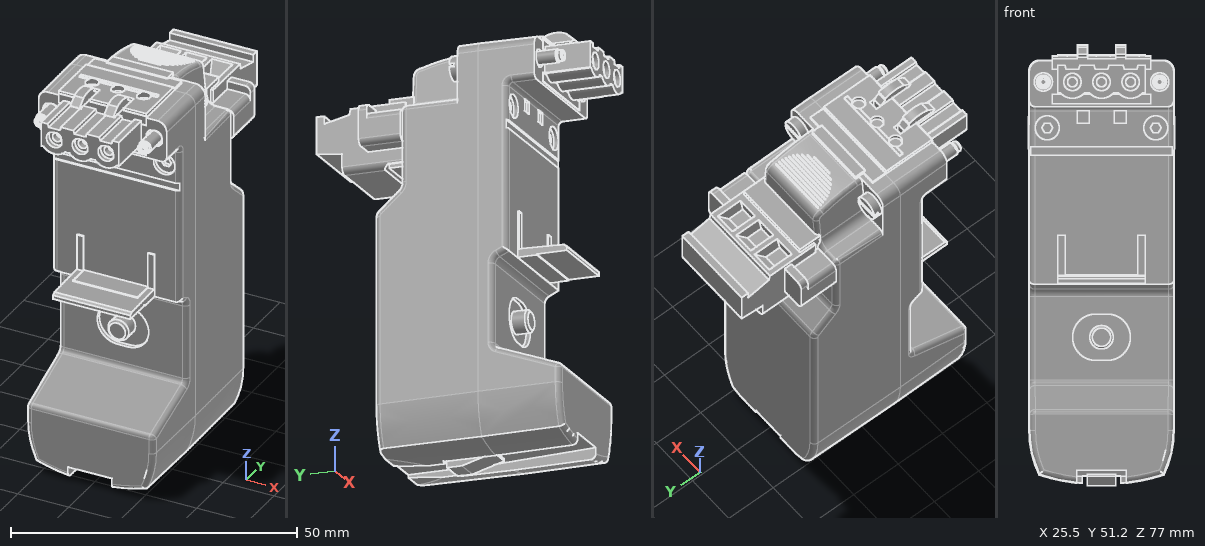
import cadquery as cq
import math


HALF_WIDTH = 12.68
DRAFT = 0.5
SHELL_DEPTH = 25.0
BODY_TOP = 74.3
BODY_BACK = 19.43
NECK_BACK = 14.5
BLOCK_FRONT = -10.6
BLOCK_BOTTOM = 66.2
PANEL_FRONT = -5.5
WAIST_FRONT = -2.88
FOOT_FRONT = -15.45
TOP_CORNER_RADIUS = 1.9
EDGE_RADIUS = 1.0
CURVE_START = 9.7
FOOT_CORNER = (10.9, 1.9)
FOOT_BOTTOM = 0.2
HOOD_START = 5.0
HOOD_START_Z = 74.2
HOOD_MID = (9.0, 73.75)
HOOD_END = (12.9, 72.8)
OVERSIZE = 20.0

HOOD_HALF_WIDTH = 6.85
HOOD_FOOT_HALF_WIDTH = 7.6
HOOD_EDGE_RADIUS = 0.8
SHELF_Z = 64.2
SHELF_INNER_RADIUS = 1.8
SHELF_OUTER_RADIUS = 1.0
SHELF_FRONT = 3.83
SCREW_X = 10.08
SCREW_Z = 70.5

PITCH = 5.08
PIN_X = (-PITCH, 0.0, PITCH)
PLUG_FRONT = -19.15
PLUG_HALF_WIDTH = 7.65
PLUG_TOP = 73.4
PLUG_FLOOR = 68.6
PLUG_SCALLOP = 2.85

TERMINAL_HALF_WIDTH = 8.22
TERMINAL_BACK = 32.05
TERMINAL_TOP = 66.25
TERMINAL_BOTTOM = 54.6
WING_HALF_WIDTH = 12.77
WING_BACK = 22.35


def box(x, y, z):
    """Box between the given (low, high) limits."""
    size = (x[1] - x[0], y[1] - y[0], z[1] - z[0])
    return cq.Workplane("XY").box(*size, centered=False).translate((x[0], y[0], z[0]))


def rod(x, z, radius, y_start, y_end):
    """Cylinder along Y."""
    plane = cq.Workplane("XZ", origin=(0, y_start, 0))
    return plane.center(x, z).circle(radius).extrude(y_start - y_end)


def slab(profile, half_width):
    """Closed YZ outline spread evenly to both sides of X = 0."""
    return profile.extrude(half_width, both=True)


def shell(length, toward):
    """Drafted half of the housing; toward is -1 for the front, 1 for the back."""
    corner_x, corner_z = FOOT_CORNER
    rise = CURVE_START - corner_z
    inset = HALF_WIDTH - corner_x
    radius = (rise ** 2 + inset ** 2) / (2 * inset)
    half_angle = math.asin(rise / radius) / 2
    bow_x = HALF_WIDTH - radius * (1 - math.cos(half_angle))
    bow_z = CURVE_START - radius * math.sin(half_angle)
    plane = cq.Workplane(cq.Plane((0, 0, 0), (-toward, 0, 0), (0, toward, 0)))
    top_side = BODY_TOP - TOP_CORNER_RADIUS
    top_x = HALF_WIDTH - TOP_CORNER_RADIUS
    diagonal = TOP_CORNER_RADIUS * (1 - math.sqrt(0.5))
    outline = (
        plane.moveTo(-corner_x, corner_z)
        .threePointArc((0, FOOT_BOTTOM), (corner_x, corner_z))
        .threePointArc((bow_x, bow_z), (HALF_WIDTH, CURVE_START))
        .lineTo(HALF_WIDTH, top_side)
        .threePointArc((HALF_WIDTH - diagonal, BODY_TOP - diagonal), (top_x, BODY_TOP))
        .lineTo(-top_x, BODY_TOP)
        .threePointArc((diagonal - HALF_WIDTH, BODY_TOP - diagonal), (-HALF_WIDTH, top_side))
        .lineTo(-HALF_WIDTH, CURVE_START)
        .threePointArc((-bow_x, bow_z), (-corner_x, corner_z))
        .close()
    )
    return outline.extrude(length, taper=DRAFT)


def side_profile():
    """Outline of the housing in the YZ plane."""
    top = BODY_TOP + 1
    return (
        cq.Workplane("YZ")
        .moveTo(FOOT_FRONT, -1)
        .lineTo(FOOT_FRONT, 13.2)
        .lineTo(WAIST_FRONT, 17.8)
        .lineTo(WAIST_FRONT, 34.0)
        .lineTo(PANEL_FRONT, 35.2)
        .lineTo(PANEL_FRONT, BLOCK_BOTTOM)
        .lineTo(BLOCK_FRONT, BLOCK_BOTTOM)
        .lineTo(BLOCK_FRONT, top)
        .lineTo(SHELF_FRONT, top)
        .lineTo(SHELF_FRONT, HOOD_START_Z)
        .lineTo(HOOD_START, HOOD_START_Z)
        .threePointArc(HOOD_MID, HOOD_END)
        .threePointArc((14.05, 72.3), (NECK_BACK, 71.2))
        .lineTo(NECK_BACK, 49.3)
        .lineTo(BODY_BACK, 45.0)
        .lineTo(BODY_BACK, 1.2)
        .lineTo(9.8, 0.1)
        .lineTo(9.8, -1)
        .close()
    )


def crease(y, z):
    """Selector of the straight edges along X that pass through (y, z)."""
    reach = 0.2
    low = (-OVERSIZE, y - reach, z - reach)
    return cq.selectors.BoxSelector(low, (OVERSIZE, y + reach, z + reach))


def rim(y, z, x):
    """Selector of the edges in the given ranges, on both sides of X = 0."""
    right = cq.selectors.BoxSelector((x[0], y[0], z[0]), (x[1], y[1], z[1]))
    left = cq.selectors.BoxSelector((-x[1], y[0], z[0]), (-x[0], y[1], z[1]))
    return right + left


def shelf_cut(side):
    """Room beside the hood, above a shelf that blends up into it."""
    shelf_end = HALF_WIDTH - SHELF_OUTER_RADIUS
    blend_start = HOOD_FOOT_HALF_WIDTH + SHELF_INNER_RADIUS
    cut_top = BODY_TOP + 5
    turn = math.sqrt(0.5)
    outer_mid = (
        side * (shelf_end + SHELF_OUTER_RADIUS * turn),
        SHELF_Z - SHELF_OUTER_RADIUS * (1 - turn),
    )
    inner_mid = (
        side * (blend_start - SHELF_INNER_RADIUS * turn),
        SHELF_Z + SHELF_INNER_RADIUS * (1 - turn),
    )
    outline = (
        cq.Workplane("XZ", origin=(0, SHELF_FRONT, 0))
        .moveTo(side * OVERSIZE, SHELF_Z - SHELF_OUTER_RADIUS)
        .lineTo(side * HALF_WIDTH, SHELF_Z - SHELF_OUTER_RADIUS)
        .threePointArc(outer_mid, (side * shelf_end, SHELF_Z))
        .lineTo(side * blend_start, SHELF_Z)
        .threePointArc(inner_mid, (side * HOOD_FOOT_HALF_WIDTH, SHELF_Z + SHELF_INNER_RADIUS))
        .lineTo(side * HOOD_HALF_WIDTH, BODY_TOP)
        .lineTo(side * HOOD_HALF_WIDTH, cut_top)
        .lineTo(side * OVERSIZE, cut_top)
        .close()
    )
    return outline.extrude(-OVERSIZE)


def housing():
    profile = slab(side_profile(), OVERSIZE)
    rounded_corners = (
        (FOOT_FRONT, 13.2, 0.9),
        (WAIST_FRONT, 17.8, 1.0),
        (WAIST_FRONT, 34.0, 1.4),
        (PANEL_FRONT, BLOCK_BOTTOM, 0.7),
        (NECK_BACK, 49.3, 1.8),
        (BODY_BACK, 45.0, 1.6),
    )
    for y, z, radius in rounded_corners:
        profile = profile.edges(crease(y, z)).fillet(radius)
    solid = shell(SHELL_DEPTH, -1).union(shell(SHELL_DEPTH, 1)).intersect(profile)
    front_sides = rim((-16, -0.5), (10, 66.3), (9, 14))
    foot_sides = rim((-16, -15), (3, 12), (9, 14))
    foot_edge = rim((-16, -15), (0, 1.5), (-0.5, 0.5))
    solid = solid.edges(front_sides + foot_sides + foot_edge).fillet(EDGE_RADIUS)
    solid = solid.cut(shelf_cut(-1)).cut(shelf_cut(1))
    back_sides = rim((14.4, 20), (3, 63), (11, 14))
    solid = solid.edges(back_sides).fillet(EDGE_RADIUS)
    hood_sides = rim((5.1, 14.6), (67, 75), (6.5, 7.6))
    return solid.edges(hood_sides).fillet(HOOD_EDGE_RADIUS)


def grip_grooves(solid):
    """Fine grooves across the hood, together filling half an ellipse."""
    count = 10
    first_y = 12.9
    spacing = 0.62
    groove_width = 0.12
    groove_depth = 0.15
    half_length = 5.8
    reach = 6.0
    chord = HOOD_END[0] - HOOD_START
    slope = (HOOD_END[1] - HOOD_START_Z) / chord
    sagitta = HOOD_MID[1] - (HOOD_START_Z + slope * (HOOD_MID[0] - HOOD_START))
    for index in range(count):
        offset = index * spacing
        y = first_y - offset
        run = y - HOOD_START
        crown = 4 * sagitta * run * (chord - run) / chord ** 2
        surface = HOOD_START_Z + slope * run + crown
        x = half_length * math.sqrt(1 - (offset / reach) ** 2)
        groove = box((-x, x), (y - groove_width, y), (surface - groove_depth, surface + 1))
        solid = solid.cut(groove)
    return solid


def cover_screws(solid):
    """Slotted screws on the back of the connector block."""
    head_radius = 2.25
    head_back = 5.5
    slot_half = 0.3
    slot_depth = 0.9
    for side in (-1, 1):
        x = side * SCREW_X
        slot_z = (SCREW_Z - slot_half, SCREW_Z + slot_half)
        slot_x = (x - head_radius, x + head_radius)
        slot = box(slot_x, (head_back - slot_depth, head_back), slot_z)
        head = rod(x, SCREW_Z, head_radius, SHELF_FRONT - 0.5, head_back).cut(slot)
        solid = solid.union(head)
    return solid


def screw_studs(solid):
    """Screw ends that stand out of recesses beside the front plug."""
    stud_x = 10.15
    shank_radius = 1.2
    neck_radius = 0.8
    tip_radius = 1.0
    tip_chamfer = 0.2
    neck_length = 0.25
    socket_radius = 0.5
    socket_depth = 0.5
    overlap = 0.5
    recess_radius = 1.6
    recess_floor = BLOCK_FRONT + 0.6
    shank_end = -14.05
    tip_end = -15.15
    for side in (-1, 1):
        x = side * stud_x
        solid = solid.cut(rod(x, SCREW_Z, recess_radius, recess_floor, BLOCK_FRONT))
        shank = rod(x, SCREW_Z, shank_radius, recess_floor + overlap, shank_end)
        neck = rod(x, SCREW_Z, neck_radius, shank_end, tip_end)
        tip = rod(x, SCREW_Z, tip_radius, shank_end - neck_length, tip_end)
        tip = tip.faces("<Y").chamfer(tip_chamfer)
        socket = rod(x, SCREW_Z, socket_radius, tip_end + socket_depth, tip_end)
        solid = solid.union(shank).union(neck).union(tip).cut(socket)
    return solid


def connector_cover(solid):
    """Raised cover on top of the block, with the frame around the plug."""
    half = 8.6
    front_top = 75.06
    back_top = 74.65
    back_end = 2.85
    root = 72.5
    frame_front = BLOCK_FRONT - 0.1
    edge_chamfer = 0.25
    front = box((-half, half), (BLOCK_FRONT, 0), (root, front_top))
    front = front.edges("|X and >Y and >Z").chamfer(edge_chamfer)
    back = box((-half, half), (0, back_end), (root, back_top))
    upper_frame = box((-half, half), (frame_front, BLOCK_FRONT), (72.7, 74.55))
    lower_frame = box((-half, half), (frame_front, BLOCK_FRONT), (66.7, 68.4))
    catch = box((-6.0, 6.0), (2.4, 4.6), (root, 74.85))
    for piece in (front, back, upper_frame, lower_frame, catch):
        solid = solid.union(piece)
    return ridge_and_pits(solid, front_top)


def ridge_and_pits(solid, top):
    """Three round pits on top of the cover and the low ridge between them."""
    pit_radius = 1.2
    pit_depth = 1.0
    ridge_half = 7.65
    ridge_height = 0.15
    solid = solid.union(box((-ridge_half, ridge_half), (-4.75, -4.0), (top, top + ridge_height)))
    for pin_x in PIN_X:
        x = pin_x + 0.3
        pit = cq.Workplane("XY", origin=(x, -5.4, top - pit_depth))
        solid = solid.cut(pit.circle(pit_radius).extrude(pit_depth + ridge_height))
    return solid


def latch_hooks(solid):
    """Two sprung hooks that rise from slots and reach over the plug."""
    hook_width = 1.8
    slot_back = -7.0
    slot_floor = 72.9
    profile = (
        cq.Workplane("YZ")
        .moveTo(-7.9, slot_floor)
        .lineTo(-7.9, 75.05)
        .lineTo(-9.0, 75.9)
        .lineTo(-9.0, 76.4)
        .threePointArc((-11.2, 76.98), (-13.2, 76.6))
        .lineTo(-14.75, 75.3)
        .lineTo(-14.1, 74.85)
        .lineTo(-13.9, 75.06)
        .lineTo(-10.7, 75.06)
        .lineTo(-10.7, slot_floor)
        .close()
    )
    hook = slab(profile, hook_width / 2)
    for x in (-3.3, 3.35):
        sides = (x - hook_width / 2, x + hook_width / 2)
        solid = solid.cut(box(sides, (-7.9, slot_back), (slot_floor, 76)))
        solid = solid.union(hook.translate((x, 0, 0)))
    return solid


def front_plug(solid):
    """Three-pole plug with grooves on top and a scalloped underside."""
    channel_top = 1.3
    channel_floor = 1.1
    channel_depth = 0.65
    socket_radius = 1.52
    contact_radius = 0.85
    socket_depth = 1.0
    contact_depth = 2.5
    length = BLOCK_FRONT - PLUG_FRONT
    plug = box((-PLUG_HALF_WIDTH, PLUG_HALF_WIDTH), (PLUG_FRONT, BLOCK_FRONT), (PLUG_FLOOR, PLUG_TOP))
    envelope = box((-PLUG_HALF_WIDTH, PLUG_HALF_WIDTH), (PLUG_FRONT, BLOCK_FRONT), (0, PLUG_TOP))
    for x in PIN_X:
        barrel = rod(x, SCREW_Z, PLUG_SCALLOP, BLOCK_FRONT, PLUG_FRONT)
        plug = plug.union(barrel.intersect(envelope))
    for x in PIN_X:
        channel = (
            cq.Workplane("XZ", origin=(0, BLOCK_FRONT, 0))
            .moveTo(x - channel_top, PLUG_TOP)
            .lineTo(x - channel_floor, PLUG_TOP - channel_depth)
            .lineTo(x + channel_floor, PLUG_TOP - channel_depth)
            .lineTo(x + channel_top, PLUG_TOP)
            .close()
            .extrude(length)
        )
        plug = plug.cut(channel)
        plug = plug.cut(rod(x, SCREW_Z, socket_radius, PLUG_FRONT + socket_depth, PLUG_FRONT))
        plug = plug.cut(rod(x, SCREW_Z, contact_radius, PLUG_FRONT + contact_depth, PLUG_FRONT))
    return solid.union(plug)


def panel_details(solid):
    """Shallow recesses, screw seats and the cross groove of the front panel."""
    recess_depth = 0.5
    seat_x = 9.47
    z = 62.5
    seat_radius = 2.1
    seat_depth = 0.8
    hex_across_corners = 1.9
    hex_depth = 0.8
    groove_depth = 0.3
    for x in (-3.2, 3.3):
        sides = (x - 1.05, x + 1.05)
        solid = solid.cut(box(sides, (PANEL_FRONT, PANEL_FRONT + recess_depth), (63.3, 65.5)))
    for side in (-1, 1):
        x = side * seat_x
        floor = PANEL_FRONT + seat_depth
        hexagon = cq.Workplane("XZ", origin=(x, floor + hex_depth, z)).polygon(6, hex_across_corners)
        solid = solid.cut(rod(x, z, seat_radius, floor, PANEL_FRONT - 0.5))
        solid = solid.cut(hexagon.extrude(hex_depth))
    groove = box((-12.35, 12.35), (PANEL_FRONT - 1, PANEL_FRONT + groove_depth), (57.7, 59.2))
    return solid.cut(groove)


def ledge(solid):
    """Release ledge below the panel, with two slim ribs running up from it."""
    half = 7.6
    rib_width = 1.25
    rib_height = 0.25
    rib_top = 43.75
    profile = (
        cq.Workplane("YZ")
        .moveTo(PANEL_FRONT + 0.5, 35.25)
        .lineTo(-9.1, 35.25)
        .lineTo(-9.1, 35.4)
        .lineTo(-14.75, 35.4)
        .lineTo(-14.75, 36.15)
        .lineTo(-14.2, 36.55)
        .lineTo(PANEL_FRONT + 0.5, 36.8)
        .close()
    )
    solid = solid.union(slab(profile, half))
    inner = half - rib_width
    pad = box((-inner, inner), (-9.6, PANEL_FRONT), (36.6, 36.85))
    solid = solid.union(pad)
    for side in (-1, 1):
        x = sorted((side * half, side * inner))
        solid = solid.union(box(x, (PANEL_FRONT - rib_height, PANEL_FRONT + 0.5), (36.5, rib_top)))
    return solid


def knob(solid):
    """Round knob standing in an oblong recess."""
    z = 25.95
    recess_depth = 0.8
    recess_length = 10.1
    recess_height = 8.1
    radius = 2.05
    front = -5.05
    floor = WAIST_FRONT + recess_depth
    recess = cq.Workplane("XZ", origin=(0, floor, z)).slot2D(recess_length, recess_height)
    solid = solid.cut(recess.extrude(recess_depth + 0.5))
    return solid.union(rod(0, z, radius, floor + 0.5, front).faces("<Y").chamfer(0.45))


def foot_notch(solid):
    """Notch in the foot with a hanging tab, open to the back above the tab."""
    half = 4.3
    top = 2.7
    end = 9.8
    window_half = 3.35
    window_top = 1.7
    tab_half = 2.5
    tab_root = 1.0
    tab_tip = 7.0
    notch = (
        cq.Workplane("YZ")
        .moveTo(FOOT_FRONT, -1)
        .lineTo(FOOT_FRONT, top)
        .lineTo(end, window_top)
        .lineTo(end, -1)
        .close()
    )
    tab = (
        cq.Workplane("YZ")
        .moveTo(tab_root, window_top)
        .lineTo(tab_tip, 0)
        .lineTo(end, 0)
        .lineTo(end, top)
        .lineTo(tab_root, top)
        .close()
    )
    solid = solid.cut(slab(notch, half))
    solid = solid.cut(box((-window_half, window_half), (end, BODY_BACK + 1), (-1, window_top)))
    return solid.union(slab(tab, tab_half))


def back_wings(solid):
    """Flange across the back with a raised lip at the far edge of each side."""
    bottom = 57.9
    top = 63.7
    lip_top = 65.3
    lip_front = 20.8
    radius = 1.1
    for side in (-1, 1):
        root = side * (TERMINAL_HALF_WIDTH - 0.4)
        x = sorted((root, side * WING_HALF_WIDTH))
        outer_edges = "|Y and >X" if side > 0 else "|Y and <X"
        plate = box(x, (NECK_BACK, WING_BACK), (bottom, top)).edges(outer_edges).fillet(radius)
        lip = box(x, (lip_front, WING_BACK), (bottom, lip_top)).edges(outer_edges).fillet(radius)
        solid = solid.union(plate.union(lip))
    return solid


def back_terminal(solid):
    """Plug-in terminal with three wire openings, seated in a shroud."""
    shroud_half = 7.75
    seat = 15.4
    shroud_top = 67.2
    bottom_radius = 1.2
    shroud = box((-shroud_half, shroud_half), (NECK_BACK - 0.5, 18.55), (TERMINAL_BOTTOM, shroud_top))
    profile = (
        cq.Workplane("YZ")
        .moveTo(seat, TERMINAL_TOP)
        .lineTo(25.65, TERMINAL_TOP)
        .lineTo(25.9, 65.2)
        .lineTo(30.6, 64.1)
        .lineTo(30.6, 65.55)
        .lineTo(TERMINAL_BACK, 65.55)
        .lineTo(TERMINAL_BACK, 58.7)
        .lineTo(27.25, 58.15)
        .lineTo(27.25, TERMINAL_BOTTOM)
        .lineTo(19.6, TERMINAL_BOTTOM)
        .lineTo(18.55, 55.35)
        .lineTo(seat, 55.35)
        .close()
    )
    terminal = slab(profile, TERMINAL_HALF_WIDTH)
    bottom_range = (TERMINAL_BOTTOM - 0.1, TERMINAL_BOTTOM + 0.1)
    terminal = terminal.edges(rim((20, 27), bottom_range, (8, 9))).fillet(bottom_radius)
    for x in PIN_X:
        terminal = terminal.cut(wire_opening(x))
    return solid.union(shroud.union(terminal))


def wire_opening(x):
    """Rectangular funnel that narrows to its floor on three sides."""
    mouth = (4.05, 5.1)
    floor = (2.65, 3.1)
    depth = 2.0
    front = 19.85
    mouth_y = front + mouth[1] / 2
    floor_y = front + floor[1] / 2
    return (
        cq.Workplane("XY", origin=(x, mouth_y, TERMINAL_TOP))
        .rect(*mouth)
        .workplane(offset=-depth)
        .center(0, floor_y - mouth_y)
        .rect(*floor)
        .loft(ruled=True)
    )


def part():
    solid = housing()
    features = (
        grip_grooves,
        connector_cover,
        cover_screws,
        screw_studs,
        front_plug,
        latch_hooks,
        panel_details,
        ledge,
        knob,
        foot_notch,
        back_wings,
        back_terminal,
    )
    for add_feature in features:
        solid = add_feature(solid)
    return solid


result = part()